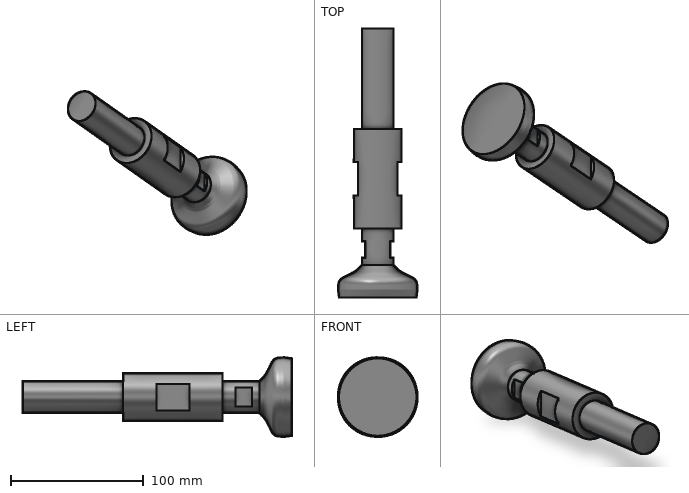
import cadquery as cq
import math

total_length = 203.0
rod_radius = 12.0

foot_radius = 30.0
foot_face_radius = 29.2
rim_taper_height = 6.0
rim_crown_height = 3.0
shoulder_base_radius = 29.8
shoulder_radius = 6.7
shoulder_start = rim_taper_height + rim_crown_height
shoulder_sweep = math.radians(65)
flare_top_radius = 17.7
flare_top = 19.5
neck_cone_radius = 15.6
neck_cone_bottom = 21.0
foot_height = 24.5

rod_flat_start = 30.2
rod_flat_length = 12.2
rod_across_flats = 19.0

sleeve_radius = 18.0
sleeve_start = 52.2
sleeve_length = 75.1
sleeve_flat_length = sleeve_length / 3
sleeve_flat_start = sleeve_start + sleeve_flat_length
sleeve_across_flats = 30.0


def cylinder(radius, start, length):
    """Cylinder on the Y axis from start toward +Y."""
    plane = cq.Plane(origin=(0, start, 0), xDir=(1, 0, 0), normal=(0, 1, 0))
    return cq.Workplane(plane).circle(radius).extrude(length)


def cut_flats(body, body_radius, start, length, across_flats):
    """Cut two opposite flats facing -X and +X over a stretch of the Y axis."""
    depth = body_radius - across_flats / 2
    for side in (-1, 1):
        cutter = cq.Workplane("XY").box(2 * depth, length, 2 * body_radius)
        cutter_x = side * (across_flats / 2 + depth)
        body = body.cut(cutter.translate((cutter_x, start + length / 2, 0)))
    return body


def shoulder_point(angle):
    """Radius and height on the foot's rounded shoulder, with the angle measured from its base."""
    radius = shoulder_base_radius - shoulder_radius * (1 - math.cos(angle))
    return radius, shoulder_start + shoulder_radius * math.sin(angle)


def make_spindle():
    """Round rod with a bell-shaped foot and two wrench flats above it."""
    shoulder_end_radius, shoulder_end = shoulder_point(shoulder_sweep)
    shoulder_middle = shoulder_point(shoulder_sweep / 2)
    spindle = (
        cq.Workplane("XY")
        .lineTo(foot_face_radius, 0)
        .lineTo(foot_radius, rim_taper_height)
        .lineTo(shoulder_base_radius, shoulder_start)
        .threePointArc(shoulder_middle, (shoulder_end_radius, shoulder_end))
        .lineTo(flare_top_radius, flare_top)
        .lineTo(neck_cone_radius, neck_cone_bottom)
        .lineTo(rod_radius, foot_height)
        .lineTo(rod_radius, total_length)
        .lineTo(0, total_length)
        .close()
        .revolve(360, (0, 0, 0), (0, 1, 0))
    )
    return cut_flats(spindle, rod_radius, rod_flat_start, rod_flat_length, rod_across_flats)


def make_sleeve():
    """Sleeve bored to fit the rod, with two flats over its middle third."""
    sleeve = cylinder(sleeve_radius, sleeve_start, sleeve_length)
    sleeve = sleeve.cut(cylinder(rod_radius, sleeve_start, sleeve_length))
    return cut_flats(sleeve, sleeve_radius, sleeve_flat_start, sleeve_flat_length, sleeve_across_flats)


spindle = make_spindle()
sleeve = make_sleeve()

result = cq.Compound.makeCompound([spindle.val(), sleeve.val()])